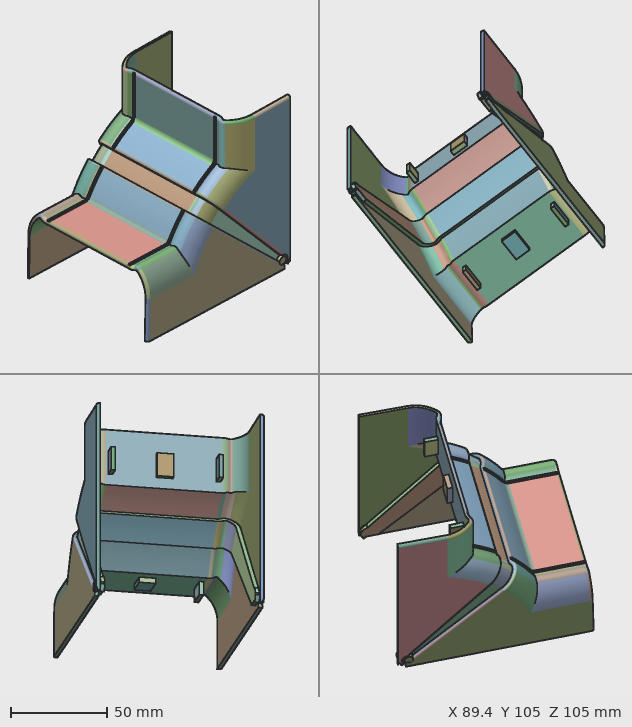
import cadquery as cq
import math

leg_length = 105.0
half_width = 44.7
wall = 2.2
end_taper = 0.9
taper_depth = 47.2
end_round = 1.6
seam_round = 3.1

leg_shoulder = 26.2
leg_ridge = 42.2
leg_side_radius = 19.9

bend_axis = -1.8
bend_shoulder = 77.7
bend_ridge = 89.2
bend_side_radius = 12.6

ridge_x = 35.5
panel_half_width = 31.1
ridge_height = 1.3
groove_outer = 30.5
groove_inner = 29.2
groove_depth = 0.4

hinge = 5.6
upper_edge_angle = 47.5
upper_edge_offset = 1.6
lower_edge_angle = 42.3
lower_edge_offset = -1.4
upper_lip_round = 1.7
lower_lip_round = 0.9
lip_place = 28.3
lip_search = 4.7
lower_back = 4.1

sleeve_gap = 0.2
sleeve_depth = 2 * wall + sleeve_gap
sleeve_overlap = 3.1
knuckle_radius = 5.5
hook_tip = (1.8, 1.9)
hook_inner = 3.1
knuckle_clearance_radius = 3.6
pivot_radius = 2.4

rib_x = 28.8
rib_width = 2.2
rib_top = 31.5
clip_width = 8.8
clip_top = 35.9
rib_start = 79.8
rib_end = 92.4

far = 2 * leg_length
tiny = 0.01
overrun = 5.2

SIDE = cq.Plane(origin=(0, 0, 0), xDir=(0, -1, 0), normal=(-1, 0, 0))


def swap_legs(body):
    """Mirror image that turns a shape of the upright leg into one of the level leg."""
    return body.rotate((0, 0, 0), (1, 0, 0), 90).mirror("XY")


def section(plane, base, shoulder, ridge, side_radius, inset):
    """Filled cross-section, moved inward by `inset` all round its outer skin."""
    side_x = half_width - side_radius
    shift = ridge_x - side_x
    rise = ridge - shoulder
    ridge_radius = (side_radius**2 - shift**2 - rise**2) / (2 * (side_radius - rise))
    ridge_center = ridge - ridge_radius
    lean = math.atan2(ridge_center - shoulder, shift)

    run = ridge_x - panel_half_width
    radii_sum = (run**2 + ridge_height**2) / (2 * ridge_height)
    drop_angle = math.asin(run / radii_sum)
    foot_radius = radii_sum - ridge_radius + inset
    panel = ridge - ridge_height - inset
    crest_radius = ridge_radius - inset
    side_arc = side_radius - inset

    def on_side(angle):
        return side_x + side_arc * math.cos(angle), shoulder + side_arc * math.sin(angle)

    def on_drop(angle):
        return ridge_x - crest_radius * math.sin(angle), ridge_center + crest_radius * math.cos(angle)

    def on_foot(angle):
        x = panel_half_width + foot_radius * math.sin(angle)
        return x, panel + foot_radius * (1 - math.cos(angle))

    def mirrored(point):
        return -point[0], point[1]

    side_start, side_mid, side_end = on_side(0), on_side(lean / 2), on_side(lean)
    crest, drop_end = on_drop(0), on_drop(drop_angle)
    foot_mid, foot_end = on_foot(drop_angle / 2), on_foot(0)
    return (
        cq.Workplane(plane)
        .moveTo(side_start[0], base)
        .lineTo(*side_start)
        .threePointArc(side_mid, side_end)
        .threePointArc(crest, drop_end)
        .threePointArc(foot_mid, foot_end)
        .lineTo(*mirrored(foot_end))
        .threePointArc(mirrored(foot_mid), mirrored(drop_end))
        .threePointArc(mirrored(crest), mirrored(side_end))
        .threePointArc(mirrored(side_mid), mirrored(side_start))
        .lineTo(-side_start[0], base)
        .close()
    )


def bend_core(inset):
    """Filled quarter turn of the bend section."""
    plane = cq.Plane(origin=(0, -bend_axis, bend_axis), xDir=(1, 0, 0), normal=(0, -1, 0))
    profile = section(plane, 0, bend_shoulder, bend_ridge, bend_side_radius, inset)
    return profile.revolve(90, (0, 0), (1, 0))


def plain_leg(inset, extra):
    """Filled upright leg, lengthened by `extra` at both ends and at its open back."""
    plane = cq.Plane(origin=(0, 0, leg_length + extra), xDir=(1, 0, 0), normal=(0, 0, -1))
    profile = section(plane, -extra, leg_shoulder, leg_ridge, leg_side_radius, inset)
    return profile.extrude(leg_length + 2 * extra)


def end_rounded_leg():
    """Filled upright leg whose tapered end is rounded along its outer edge."""
    end = leg_length - end_taper
    leg = plain_leg(0, 0).intersect(side_prism([
        (0, 0), (taper_depth, 0), (taper_depth, end), (0, leg_length),
    ]))
    end_zone = cq.selectors.BoxSelector((-far, -far, end - end_taper), (far, -tiny, far))
    return leg.edges(end_zone).fillet(end_round)


def joined(leg, inset):
    """Bend and both legs as one filled shape."""
    return bend_core(inset).union(leg).union(swap_legs(leg))


def side_prism(points):
    """Block across the full width with the given outline of (distance forward, height)."""
    return cq.Workplane(SIDE).polyline(points).close().extrude(far / 2, both=True)


def quadrant():
    """Room in front of the upright leg's back and above the level leg's back."""
    return side_prism([(0, 0), (far, 0), (far, far), (0, far)])


def hinge_rod(radius):
    return cq.Workplane(SIDE).center(hinge, hinge).circle(radius).extrude(far / 2, both=True)


def fan_line(angle, offset):
    """Two far ends of a straight line beside the hinge axis; positive offset lies above it."""
    along = math.cos(math.radians(angle)), math.sin(math.radians(angle))
    x = hinge - offset * along[1]
    z = hinge + offset * along[0]
    return (x - far * along[0], z - far * along[1]), (x + far * along[0], z + far * along[1])


def above(angle, offset):
    near_end, far_end = fan_line(angle, offset)
    return side_prism([near_end, far_end, (-far, far)])


def below(angle, offset):
    near_end, far_end = fan_line(angle, offset)
    return side_prism([near_end, far_end, (far, -far)])


def make_shell():
    """Skin of the whole cover, before it is split."""
    shell = joined(end_rounded_leg(), 0).intersect(quadrant())
    return shell.cut(joined(plain_leg(wall, overrun), wall))


def cut_panel_grooves(cover):
    groove_floor = joined(plain_leg(groove_depth, overrun), groove_depth)
    for side in (-1, 1):
        strip = cq.Workplane("XY").box(groove_outer - groove_inner, far, far)
        strip = strip.translate((side * (groove_outer + groove_inner) / 2, -far / 2, far / 2))
        cover = cover.cut(strip.cut(groove_floor))
    return cover


def round_lip(cover, radius):
    """Round the outer edge along the split; the rounding follows the whole smooth edge."""
    low = (-far, -lip_place - lip_search, lip_place - lip_search)
    high = (far, -lip_place + lip_search, lip_place + lip_search)
    lip = cover.faces("<X").edges(cq.selectors.BoxSelector(low, high))
    return lip.fillet(radius)


def round_seam(leg_half):
    """Round the inside corner where the bend's panel meets the upright leg's panel."""
    forward = leg_ridge - ridge_height
    bend_radius = bend_ridge - ridge_height
    height = bend_axis + math.sqrt(bend_radius**2 - (forward - bend_axis) ** 2)
    low = (-tiny, -forward - tiny, height - tiny)
    high = (tiny, -forward + tiny, height + tiny)
    return leg_half.edges(cq.selectors.BoxSelector(low, high)).fillet(seam_round)


def leg_blocks():
    """Two ribs and a clip block on the inside of the upright leg's panel."""
    root = leg_ridge - ridge_height - wall / 2
    sizes = (
        (-rib_x, rib_width, rib_top),
        (rib_x, rib_width, rib_top),
        (0, clip_width, clip_top),
    )
    blocks = []
    for x, width, top in sizes:
        block = cq.Workplane("XY").box(width, root - top, rib_end - rib_start)
        blocks.append(block.translate((x, -(root + top) / 2, (rib_start + rib_end) / 2)))
    return blocks


def hook():
    """Zone of the outer wall that wraps behind the hinge."""
    top = hinge + knuckle_radius
    return side_prism([
        (0, hinge), hook_tip, (hook_inner, hook_inner), (hinge, hinge), (hook_inner, top), (0, top),
    ])


def sleeve():
    """Inner fan that joins the upper cover at its shoulder and runs under the lower cover."""
    under_upper = below(upper_edge_angle, upper_edge_offset + sleeve_overlap)
    fan = under_upper.intersect(above(lower_edge_angle, lower_edge_offset - sleeve_overlap))
    hook_side = side_prism([
        (0, hinge), hook_tip, (hook_inner, hook_inner), (far, hook_inner), (far, far), (0, far),
    ])
    knuckle = hinge_rod(knuckle_radius).intersect(hook_side)
    fan = fan.intersect(quadrant()).intersect(hook_side).union(knuckle)
    inner = bend_core(sleeve_depth)
    leaf = bend_core(wall + sleeve_gap).cut(inner).intersect(fan)
    shoulder_zone = under_upper.intersect(above(upper_edge_angle, upper_edge_offset))
    shoulder_zone = shoulder_zone.intersect(hook_side).cut(hinge_rod(knuckle_clearance_radius))
    shoulder = bend_core(wall / 2).cut(inner).intersect(shoulder_zone)
    return leaf.union(shoulder)


def make_upper_cover(shell):
    cover = shell.intersect(above(upper_edge_angle, upper_edge_offset))
    cover = round_seam(cut_panel_grooves(round_lip(cover, upper_lip_round)))
    cover = cover.union(shell.intersect(hook()))
    cover = cover.cut(hinge_rod(knuckle_clearance_radius)).union(sleeve())
    for block in leg_blocks():
        cover = cover.union(block)
    return cover


def make_lower_cover(shell):
    zone = below(lower_edge_angle, lower_edge_offset).intersect(
        side_prism([(lower_back, 0), (far, 0), (far, far), (lower_back, far)])
    )
    cover = cut_panel_grooves(round_lip(shell.intersect(zone), lower_lip_round))
    cover = swap_legs(round_seam(swap_legs(cover)))
    cover = cover.union(shell.intersect(hinge_rod(pivot_radius)))
    for block in leg_blocks():
        cover = cover.union(swap_legs(block))
    return cover


shell = make_shell()
upper_cover = make_upper_cover(shell)
lower_cover = make_lower_cover(shell)
result = cq.Compound.makeCompound([*upper_cover.vals(), *lower_cover.vals()])